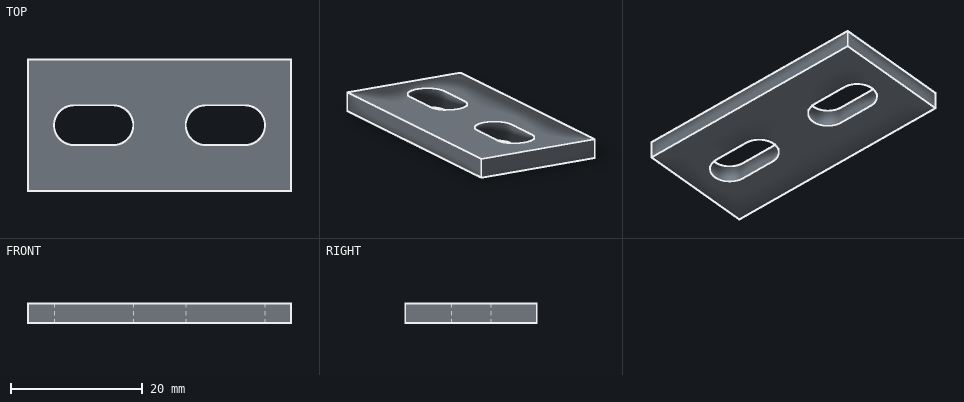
import cadquery as cq

plate_length = 40.0
plate_width = 20.0
plate_thickness = 3.0

slot_length = 12.0
slot_width = 6.0
slot_spacing = 20.0


def make_plate():
    """Flat rectangular plate centred on the X and Y axes, resting on Z = 0."""
    return cq.Workplane("XY").box(
        plate_length, plate_width, plate_thickness, centered=(True, True, False)
    )


def cut_slots(plate):
    """Cut two round-ended through slots, placed evenly about the plate centre."""
    slot_centres = [(side * slot_spacing / 2, 0) for side in (-1, 1)]
    return (
        plate.faces(">Z")
        .workplane()
        .pushPoints(slot_centres)
        .slot2D(slot_length, slot_width)
        .cutThruAll()
    )


result = cut_slots(make_plate())